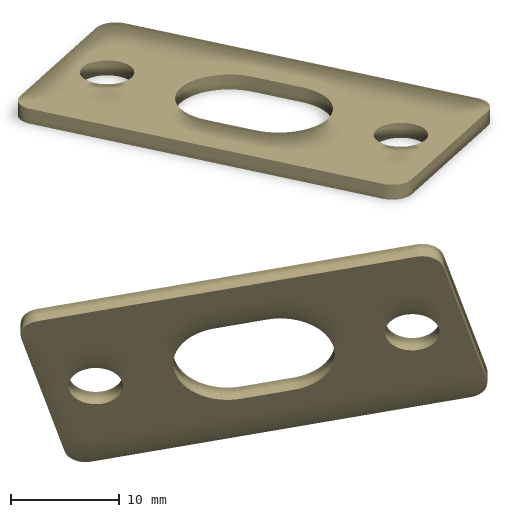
import cadquery as cq

length = 40.0
width = length / 2
thickness = 1.5
corner_radius = 2.0

slot_length = 15.0
slot_width = 10.0

hole_diameter = 5.0
hole_spacing = 30.0


def make_plate():
    """Flat plate with rounded vertical corners, resting on Z = 0."""
    plate = cq.Workplane("XY").box(length, width, thickness, centered=(True, True, False))
    return plate.edges("|Z").fillet(corner_radius)


def cut_slot(plate):
    """Cut the central slot through the plate along X."""
    return plate.faces(">Z").workplane().slot2D(slot_length, slot_width).cutThruAll()


def cut_mounting_holes(plate):
    """Drill the two mounting holes on the long centre line."""
    centers = [(-hole_spacing / 2, 0), (hole_spacing / 2, 0)]
    return plate.faces(">Z").workplane(origin=(0, 0, 0)).pushPoints(centers).hole(hole_diameter)


result = cut_mounting_holes(cut_slot(make_plate()))